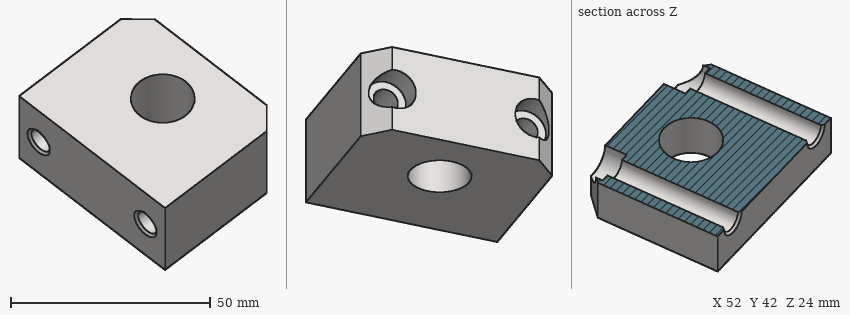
import cadquery as cq

width = 52.0
depth = 42.0
height = 24.0
corner_chamfer = 6.0

bore_diameter = 16.0
bore_from_front = 25.0

screw_spacing = 38.0
screw_diameter = 6.6
screw_height = height / 2
countersink_diameter = 8.0
countersink_depth = (countersink_diameter - screw_diameter) / 2
counterbore_diameter = 11.0
counterbore_depth = 6.5


def make_block():
    """Block with its front face on Y = 0, base on Z = 0 and chamfered back corners."""
    block = cq.Workplane("XY").box(width, depth, height, centered=(True, False, False))
    return block.edges("|Z and >Y").chamfer(corner_chamfer)


def make_bore():
    """Cylinder that cuts the vertical through bore."""
    return cq.Workplane("XY").center(0, bore_from_front).circle(bore_diameter / 2).extrude(height)


def make_screw_hole(x):
    """Through hole along Y with a 45 degree front countersink and a back counterbore."""
    counterbore_floor = depth - counterbore_depth
    profile = [
        (0, 0),
        (countersink_diameter / 2, 0),
        (screw_diameter / 2, countersink_depth),
        (screw_diameter / 2, counterbore_floor),
        (counterbore_diameter / 2, counterbore_floor),
        (counterbore_diameter / 2, depth),
        (0, depth),
    ]
    hole = cq.Workplane("XY").polyline(profile).close().revolve(360, (0, 0, 0), (0, 1, 0))
    return hole.translate((x, 0, screw_height))


result = make_block().cut(make_bore())
for side in (-1, 1):
    result = result.cut(make_screw_hole(side * screw_spacing / 2))